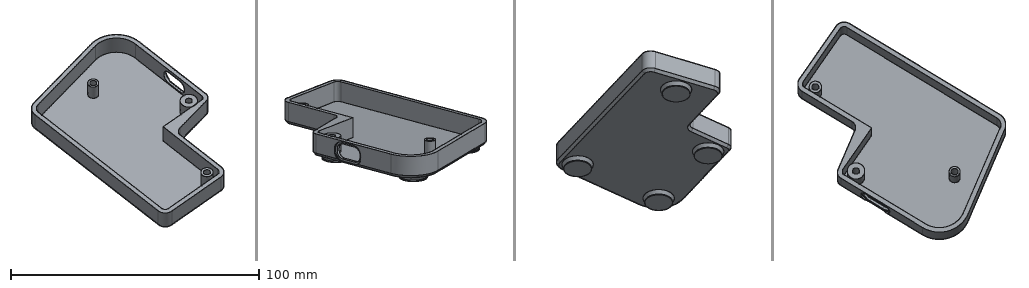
import cadquery as cq
import math

LENGTH = 89.1
DEPTH = 58.0
HEIGHT = 11.6
LEAN = math.radians(11)
ARM_DEPTH = 35.0
NOTCH_CORNER_X = 58.7
BIG_RADIUS = 12.5
FRONT_LEFT_RADIUS = 5.3
REAR_RADIUS = 3.0
NOTCH_RADIUS = 3.0
ARM_RADIUS = 3.9

WALL = 2.0
FOOT_HEIGHT = 2.1
FLOOR_TOP = 3.1
BOTTOM_CHAMFER_RISE = 1.25
BOTTOM_CHAMFER_INSET = 1.0
INNER_NOTCH_X = 53.1
INNER_REAR_RADIUS = 1.8

POSTS = [(48.7, 51.5, 7.0), (15.15, 30.1, 4.5), (82.2, 29.95, 5.0)]
POST_TOP = 9.8
POST_HOLE_DIAMETER = 2.8

FOOT_CENTRES = [(8.8, 48.2), (47.95, 50.0), (15.0, 7.9), (81.2, 17.65)]
FOOT_TOP_DIAMETER = 12.7
FOOT_NECK_DIAMETER = 11.0
FOOT_BASE_DIAMETER = 11.3
FOOT_NECK_Z = 0.5

PORT_X = 35.2
PORT_BOTTOM = 3.65
PORT_WIDTH = 11.9
PORT_HEIGHT = 6.4
PORT_RADIUS = 2.85
PORT_RECESS_DEPTH = 0.7
PORT_RECESS_MARGIN = 0.9


def left_side_x(y, inset=0.0):
    """X of the slanted left side; the big corner arc just touches X = 0."""
    rear_x = BIG_RADIUS - BIG_RADIUS * (1 + math.sin(LEAN)) / math.cos(LEAN)
    return rear_x + (DEPTH - y) * math.tan(LEAN) + inset / math.cos(LEAN)


def notch_side_x(y):
    """X of the slanted notch side."""
    return NOTCH_CORNER_X - (y - ARM_DEPTH) * math.tan(LEAN)


def prism(corners, bottom, top):
    """Extrude a polygon of (x, y, corner radius) and round its upright edges."""
    points = [(x, y) for x, y, _ in corners]
    solid = cq.Workplane("XY").workplane(offset=bottom).polyline(points).close().extrude(top - bottom)
    for x, y, radius in corners:
        if radius > 0:
            nearest = cq.selectors.NearestToPointSelector((x, y, (bottom + top) / 2))
            solid = solid.edges("|Z").edges(nearest).fillet(radius)
    return solid


def outer_body():
    """Solid tray body with a chamfer around its bottom."""
    corners = [
        (left_side_x(0), 0, FRONT_LEFT_RADIUS),
        (LENGTH, 0, ARM_RADIUS),
        (LENGTH, ARM_DEPTH, ARM_RADIUS),
        (NOTCH_CORNER_X, ARM_DEPTH, NOTCH_RADIUS),
        (notch_side_x(DEPTH), DEPTH, REAR_RADIUS),
        (left_side_x(DEPTH), DEPTH, BIG_RADIUS),
    ]
    body = prism(corners, FOOT_HEIGHT, HEIGHT)
    bottom_edge = body.faces("<Z").edges()
    return bottom_edge.chamfer(BOTTOM_CHAMFER_INSET, BOTTOM_CHAMFER_RISE)


def cavity():
    """Pocket open at the top; its rounded corners follow the outer ones at the wall thickness."""
    front = WALL
    right = LENGTH - WALL
    arm_rear = ARM_DEPTH - WALL
    rear = DEPTH - WALL
    corners = [
        (left_side_x(front, WALL), front, FRONT_LEFT_RADIUS - WALL),
        (right, front, ARM_RADIUS - WALL),
        (right, arm_rear, ARM_RADIUS - WALL),
        (INNER_NOTCH_X, arm_rear, 0),
        (INNER_NOTCH_X, rear, INNER_REAR_RADIUS),
        (left_side_x(rear, WALL), rear, BIG_RADIUS - WALL),
    ]
    return prism(corners, FLOOR_TOP, HEIGHT)


def cylinder(x, y, diameter):
    """Upright cylinder from the cavity floor to the post tops."""
    base = cq.Workplane("XY").workplane(offset=FLOOR_TOP).center(x, y)
    return base.circle(diameter / 2).extrude(POST_TOP - FLOOR_TOP)


def foot(x, y):
    """Foot that tapers from the tray to a neck and flares out a little at its base."""
    neck = FOOT_NECK_DIAMETER / 2
    top = FOOT_TOP_DIAMETER / 2
    profile = (
        cq.Workplane("XZ")
        .lineTo(FOOT_BASE_DIAMETER / 2, 0)
        .lineTo(neck, FOOT_NECK_Z)
        .lineTo(top, FOOT_HEIGHT)
        .lineTo(0, FOOT_HEIGHT)
        .close()
    )
    return profile.revolve(360, (0, 0, 0), (0, 1, 0)).translate((x, y, 0))


def rear_slot(margin, front_y):
    """Rounded slot, larger than the port by a margin all round, from front_y out through the rear."""
    length = DEPTH + WALL - front_y
    block = cq.Workplane("XY").box(PORT_WIDTH + 2 * margin, length, PORT_HEIGHT + 2 * margin)
    block = block.edges("|Y").fillet(PORT_RADIUS + margin)
    return block.translate((PORT_X, front_y + length / 2, PORT_BOTTOM + PORT_HEIGHT / 2))


def port():
    """Through slot with a wider shallow recess on the outside of the wall."""
    opening = rear_slot(0, DEPTH - 2 * WALL)
    recess = rear_slot(PORT_RECESS_MARGIN, DEPTH - PORT_RECESS_DEPTH)
    return opening.union(recess)


result = outer_body().cut(cavity()).cut(port())
for post_x, post_y, post_diameter in POSTS:
    result = result.union(cylinder(post_x, post_y, post_diameter))
    result = result.cut(cylinder(post_x, post_y, POST_HOLE_DIAMETER))
for foot_x, foot_y in FOOT_CENTRES:
    result = result.union(foot(foot_x, foot_y))